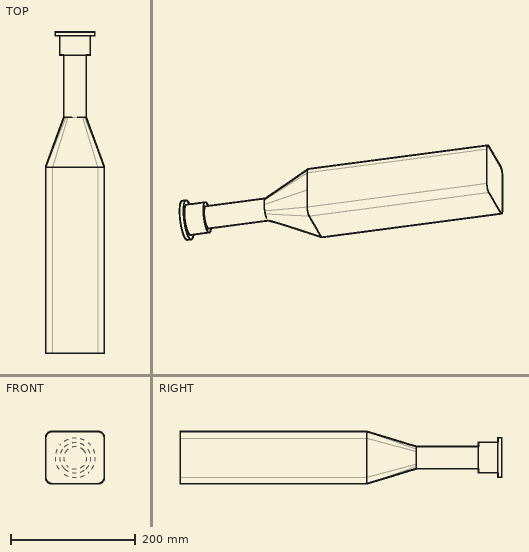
import cadquery as cq

body_width = 94.81
body_height = 84.73
overall_length = 517.66

body_length = 300.0
taper_length = 80.0
neck_length = 100.0
flange_thickness = 6.5
collar_length = overall_length - body_length - taper_length - neck_length - flange_thickness

corner_radius = 11.0
neck_diameter = 36.5
collar_diameter = 49.5
flange_diameter = 64.0

taper_start = body_length
neck_start = taper_start + taper_length
collar_start = neck_start + neck_length
flange_start = collar_start + collar_length


def section_plane(y):
    """Plane across the long axis at y, facing +Y, with local x along -X and local y along +Z."""
    return cq.Plane(origin=(0, y, 0), xDir=(-1, 0, 0), normal=(0, 1, 0))


def cylinder(start, length, diameter):
    """Round section on the long axis."""
    return cq.Workplane(section_plane(start)).circle(diameter / 2).extrude(length)


def rounded_rectangle():
    """Cross-section of the body."""
    return cq.Sketch().rect(body_width, body_height).vertices().fillet(corner_radius)


def make_body():
    """Long bar with rounded edges."""
    return cq.Workplane(section_plane(0)).placeSketch(rounded_rectangle()).extrude(body_length)


def make_taper():
    """Transition from the body's cross-section to the round neck."""
    neck_end = cq.Location(cq.Vector(0, 0, taper_length))
    round_end = cq.Sketch().circle(neck_diameter / 2).moved(neck_end)
    return (
        cq.Workplane(section_plane(taper_start))
        .placeSketch(rounded_rectangle(), round_end)
        .loft()
    )


result = (
    make_body()
    .union(make_taper())
    .union(cylinder(neck_start, neck_length, neck_diameter))
    .union(cylinder(collar_start, collar_length, collar_diameter))
    .union(cylinder(flange_start, flange_thickness, flange_diameter))
)